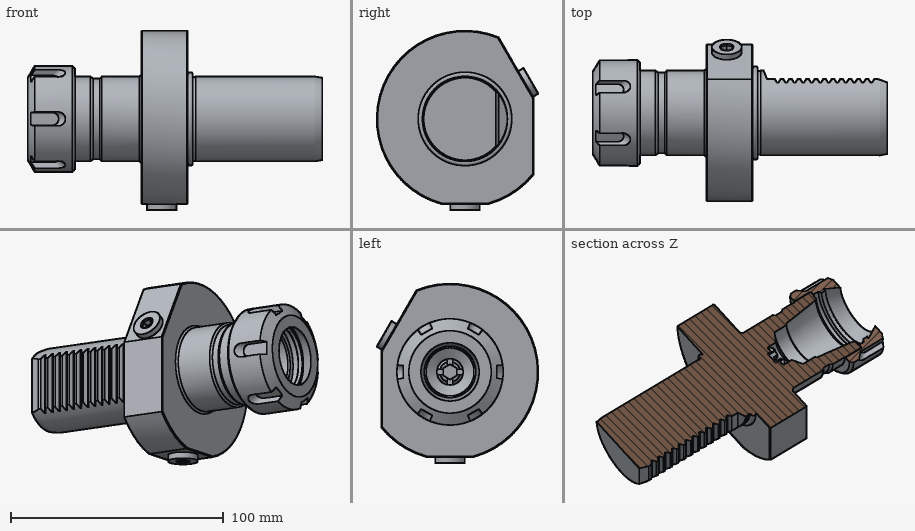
import cadquery as cq
import math

LENGTH = 138.5

NUT_LENGTH = 22.3
NUT_RADIUS = 25.0
NUT_FACE_RADIUS = 19.4
NUT_FRONT_ANGLE = 30.0
NUT_BEVEL_EASE = 0.4
NUT_REAR_CHAMFER = 1.4
NUT_MOUTH_RADIUS = 13.7
NUT_CONE_ANGLE = 30.0
NUT_CONE_DEPTH = 6.8
NUT_RING_RADIUS = 16.5
NUT_RING_END = 9.0
NUT_RELIEF_RADIUS = 18.0
NUT_RELIEF_TAPER = 0.8

SLOT_COUNT = 6
SLOT_FLOOR_WIDTH = 6.0
SLOT_SURFACE_WIDTH = 6.6
SLOT_FLOOR_RADIUS = 21.9
SLOT_FLOOR_END = 14.5
SLOT_SURFACE_END = 17.7

NECK_RADIUS = 20.01
NECK_FRONT = 12.9
NECK_GROOVE_RADIUS = 19.05
NECK_GROOVE_START = 29.4
NECK_GROOVE_END = 34.9
NECK_GROOVE_FRONT_TAPER = 1.4
NECK_GROOVE_REAR_TAPER = 1.0
NECK_FLARE = 1.0

FLANGE_START = 53.5
FLANGE_END = 75.2
FLANGE_RADIUS = 41.5
FLANGE_CHAMFER = 0.4
BOTTOM_FLAT = 40.0
SIDE_FLAT = 32.3
SLANTED_FLAT = 32.9
SLANTED_FLAT_ANGLE = 60.0

PLUG_X = 63.0
PLUG_RADIUS = 7.0
PLUG_HEIGHT = 2.9
PLUG_HEX_ACROSS_FLATS = 5.0
PLUG_MOUTH_RADIUS = 3.2
PLUG_HEX_DEPTH = 3.5

BEAD_RADIUS = 22.0
BEAD_END = 77.7
UNDERCUT_RADIUS = 19.8
UNDERCUT_END = 79.0

SHANK_RADIUS = NECK_RADIUS
SHANK_END_RADIUS = 19.4
SHANK_TIP_START = 135.0

RACK_HEIGHT = 16.0
RACK_RAMP_START = 80.3
RACK_START = 82.0
GROOVE_COUNT = 12
GROOVE_PITCH = 4.0
GROOVE_FIRST_X = 87.0
GROOVE_DEPTH = 1.73
GROOVE_TOP_WIDTH = 2.9
GROOVE_BOTTOM_WIDTH = 0.5
RACK_END_SLOPE_START = 133.9
RACK_END_HEIGHT = 14.4

BORE_FACE_RADIUS = 15.5
BORE_MOUTH_RADIUS = 14.8
BORE_MOUTH_DEPTH = 0.8
BORE_TAPER_ANGLE = 8.0
BORE_TAPER_END_RADIUS = 12.12
BORE_RELIEF_RADIUS = 11.29
BORE_RELIEF_LENGTH = 6.9
BORE_SHOULDER_ANGLE = 60.0
BORE_PILOT_RADIUS = 6.16
BORE_PILOT_LENGTH = 2.8

STOP_CHAMFER = 1.4
STOP_SLOT_WIDTH = 2.42
STOP_SLOT_DEPTH = 2.1
STOP_HEX_ACROSS_FLATS = 6.2
STOP_HEX_DEPTH = 4.2

HEX_SIDES = 6
CUT_MARGIN = 6.9


def tangent(degrees):
    return math.tan(math.radians(degrees))


def hex_diameter(across_flats):
    """Corner-to-corner diameter of a hexagon."""
    return across_flats / math.cos(math.pi / HEX_SIDES)


def turned(points):
    """Revolve an (x, radius) outline about the X axis."""
    outline = cq.Workplane("XY").polyline(points).close()
    return outline.revolve(360, (0, 0, 0), (1, 0, 0))


def nut_slot_cutter():
    """Round-ended slot in the +Z side whose walls lean outward toward the surface."""
    cutter_height = NUT_RADIUS + CUT_MARGIN - SLOT_FLOOR_RADIUS
    growth = cutter_height / (NUT_RADIUS - SLOT_FLOOR_RADIUS)
    top_width = SLOT_FLOOR_WIDTH + growth * (SLOT_SURFACE_WIDTH - SLOT_FLOOR_WIDTH)
    top_end = SLOT_FLOOR_END + growth * (SLOT_SURFACE_END - SLOT_FLOOR_END)

    def outline(workplane, width, end):
        half = width / 2
        return (
            workplane.moveTo(-CUT_MARGIN, -half)
            .lineTo(end - half, -half)
            .threePointArc((end, 0), (end - half, half))
            .lineTo(-CUT_MARGIN, half)
            .close()
        )

    floor_plane = cq.Workplane("XY").workplane(offset=SLOT_FLOOR_RADIUS)
    floor = outline(floor_plane, SLOT_FLOOR_WIDTH, SLOT_FLOOR_END)
    return outline(floor.workplane(offset=cutter_height), top_width, top_end).loft(ruled=True)


def make_nut():
    bevel_radius = NUT_RADIUS - NUT_BEVEL_EASE
    bevel_length = (bevel_radius - NUT_FACE_RADIUS) * tangent(NUT_FRONT_ANGLE)
    seat_radius = NUT_MOUTH_RADIUS + NUT_CONE_DEPTH * tangent(NUT_CONE_ANGLE)
    nut = turned([
        (0, NUT_MOUTH_RADIUS),
        (0, NUT_FACE_RADIUS),
        (bevel_length, bevel_radius),
        (bevel_length + NUT_BEVEL_EASE, NUT_RADIUS),
        (NUT_LENGTH - NUT_REAR_CHAMFER, NUT_RADIUS),
        (NUT_LENGTH, NUT_RADIUS - NUT_REAR_CHAMFER),
        (NUT_LENGTH, NECK_RADIUS),
        (NECK_FRONT, NECK_RADIUS),
        (NECK_FRONT, NUT_RELIEF_RADIUS),
        (NUT_RING_END + NUT_RELIEF_TAPER, NUT_RELIEF_RADIUS),
        (NUT_RING_END, NUT_RING_RADIUS),
        (NUT_CONE_DEPTH, NUT_RING_RADIUS),
        (NUT_CONE_DEPTH, seat_radius),
    ])
    slot = nut_slot_cutter()
    for index in range(SLOT_COUNT):
        angle = 90 + index * 360 / SLOT_COUNT
        nut = nut.cut(slot.rotate((0, 0, 0), (1, 0, 0), angle))
    return nut


def make_neck():
    return turned([
        (NECK_FRONT, 0),
        (NECK_FRONT, NECK_RADIUS),
        (NECK_GROOVE_START, NECK_RADIUS),
        (NECK_GROOVE_START + NECK_GROOVE_FRONT_TAPER, NECK_GROOVE_RADIUS),
        (NECK_GROOVE_END - NECK_GROOVE_REAR_TAPER, NECK_GROOVE_RADIUS),
        (NECK_GROOVE_END, NECK_RADIUS),
        (FLANGE_START - NECK_FLARE, NECK_RADIUS),
        (FLANGE_START, NECK_RADIUS + NECK_FLARE),
        (FLANGE_START, 0),
    ])


def flat_cutter(distance, angle):
    """Block beyond a flat at `distance` from the axis, turned from +Z by `angle` about X."""
    size = 3 * FLANGE_RADIUS
    block = cq.Workplane("XY").box(size, size, size).translate((FLANGE_START, 0, distance + size / 2))
    return block.rotate((0, 0, 0), (1, 0, 0), angle)


def make_plug(flat_distance, angle):
    """Plug standing on a flange flat, rooted inside the flange."""
    root = flat_distance - PLUG_HEX_DEPTH
    plug = (
        cq.Workplane("XY", origin=(PLUG_X, 0, root))
        .circle(PLUG_RADIUS)
        .extrude(PLUG_HEX_DEPTH + PLUG_HEIGHT)
    )
    return plug.rotate((0, 0, 0), (1, 0, 0), angle)


def plug_socket_cutter(flat_distance, angle):
    """Countersunk hexagon socket in the outer face of a plug."""
    plug_face = cq.Workplane("XY", origin=(PLUG_X, 0, flat_distance + PLUG_HEIGHT))
    hexagon = (
        plug_face.transformed(rotate=(0, 0, 90))
        .polygon(HEX_SIDES, hex_diameter(PLUG_HEX_ACROSS_FLATS))
        .extrude(-PLUG_HEX_DEPTH)
    )
    countersink_depth = PLUG_MOUTH_RADIUS - PLUG_HEX_ACROSS_FLATS / 2
    countersink = plug_face.circle(PLUG_MOUTH_RADIUS).extrude(-countersink_depth, taper=45)
    return hexagon.union(countersink).rotate((0, 0, 0), (1, 0, 0), angle)


def make_flange():
    flange = (
        cq.Workplane("YZ", origin=(FLANGE_START, 0, 0))
        .circle(FLANGE_RADIUS)
        .extrude(FLANGE_END - FLANGE_START)
    )
    plugged_flats = [(BOTTOM_FLAT, 180), (SLANTED_FLAT, -SLANTED_FLAT_ANGLE)]
    for distance, angle in plugged_flats + [(SIDE_FLAT, -90)]:
        flange = flange.cut(flat_cutter(distance, angle))
    flange = flange.faces("<X or >X").edges().chamfer(FLANGE_CHAMFER)
    for distance, angle in plugged_flats:
        flange = flange.union(make_plug(distance, angle))
        flange = flange.cut(plug_socket_cutter(distance, angle))
    return flange


def rack_cutter():
    """Everything removed from the shank above its toothed flat."""
    clear = SHANK_RADIUS + CUT_MARGIN
    ramp_slope = (RACK_START - RACK_RAMP_START) / (SHANK_RADIUS - RACK_HEIGHT)
    end_slope = (RACK_HEIGHT - RACK_END_HEIGHT) / (LENGTH - RACK_END_SLOPE_START)
    points = [
        (RACK_START - ramp_slope * (clear - RACK_HEIGHT), clear),
        (RACK_START, RACK_HEIGHT),
    ]
    for index in range(GROOVE_COUNT):
        center = GROOVE_FIRST_X + index * GROOVE_PITCH
        points += [
            (center - GROOVE_TOP_WIDTH / 2, RACK_HEIGHT),
            (center - GROOVE_BOTTOM_WIDTH / 2, RACK_HEIGHT - GROOVE_DEPTH),
            (center + GROOVE_BOTTOM_WIDTH / 2, RACK_HEIGHT - GROOVE_DEPTH),
            (center + GROOVE_TOP_WIDTH / 2, RACK_HEIGHT),
        ]
    points += [
        (RACK_END_SLOPE_START, RACK_HEIGHT),
        (LENGTH + CUT_MARGIN, RACK_END_HEIGHT - end_slope * CUT_MARGIN),
        (LENGTH + CUT_MARGIN, clear),
    ]
    return cq.Workplane("XY").polyline(points).close().extrude(SHANK_RADIUS, both=True)


def make_shank():
    bead_rounding = (BEAD_END - FLANGE_END) / 2
    bead_shoulder = BEAD_RADIUS - bead_rounding
    bead = (
        cq.Workplane("XY")
        .moveTo(FLANGE_END, 0)
        .lineTo(FLANGE_END, bead_shoulder)
        .threePointArc((FLANGE_END + bead_rounding, BEAD_RADIUS), (BEAD_END, bead_shoulder))
        .lineTo(BEAD_END, 0)
        .close()
        .revolve(360, (0, 0, 0), (1, 0, 0))
    )
    shank = turned([
        (FLANGE_END, 0),
        (FLANGE_END, UNDERCUT_RADIUS),
        (UNDERCUT_END, UNDERCUT_RADIUS),
        (UNDERCUT_END, SHANK_RADIUS),
        (SHANK_TIP_START, SHANK_RADIUS),
        (LENGTH, SHANK_END_RADIUS),
        (LENGTH, 0),
    ])
    return shank.cut(rack_cutter()).union(bead)


def collet_bore_cutter():
    """Collet taper and relief with the stop screw's end left standing at the bottom."""
    shoulder = tangent(BORE_SHOULDER_ANGLE)
    mouth_x = NECK_FRONT + BORE_MOUTH_DEPTH
    taper_end = mouth_x + (BORE_MOUTH_RADIUS - BORE_TAPER_END_RADIUS) / tangent(BORE_TAPER_ANGLE)
    relief_start = taper_end + (BORE_TAPER_END_RADIUS - BORE_RELIEF_RADIUS) / shoulder
    relief_end = relief_start + BORE_RELIEF_LENGTH
    pilot_start = relief_end + (BORE_RELIEF_RADIUS - BORE_PILOT_RADIUS) / shoulder
    stop_x = pilot_start + BORE_PILOT_LENGTH

    bore = turned([
        (NECK_FRONT, 0),
        (NECK_FRONT, BORE_FACE_RADIUS),
        (mouth_x, BORE_MOUTH_RADIUS),
        (taper_end, BORE_TAPER_END_RADIUS),
        (relief_start, BORE_RELIEF_RADIUS),
        (relief_end, BORE_RELIEF_RADIUS),
        (pilot_start, BORE_PILOT_RADIUS),
        (stop_x + STOP_CHAMFER, BORE_PILOT_RADIUS),
        (stop_x, BORE_PILOT_RADIUS - STOP_CHAMFER),
        (stop_x, 0),
    ])
    stop_face = cq.Workplane("YZ", origin=(stop_x, 0, 0))
    cross = (
        stop_face.rect(2 * BORE_PILOT_RADIUS, STOP_SLOT_WIDTH).extrude(STOP_SLOT_DEPTH)
        .union(stop_face.rect(STOP_SLOT_WIDTH, 2 * BORE_PILOT_RADIUS).extrude(STOP_SLOT_DEPTH))
        .intersect(stop_face.circle(BORE_PILOT_RADIUS).extrude(STOP_SLOT_DEPTH))
    )
    socket = (
        stop_face.transformed(rotate=(0, 0, 90))
        .polygon(HEX_SIDES, hex_diameter(STOP_HEX_ACROSS_FLATS))
        .extrude(STOP_HEX_DEPTH)
    )
    return bore.union(cross).union(socket)


def make_holder():
    holder = make_neck().union(make_flange()).union(make_shank())
    return holder.cut(collet_bore_cutter())


nut = make_nut()
holder = make_holder()
result = cq.Compound.makeCompound([nut.val(), holder.val()])